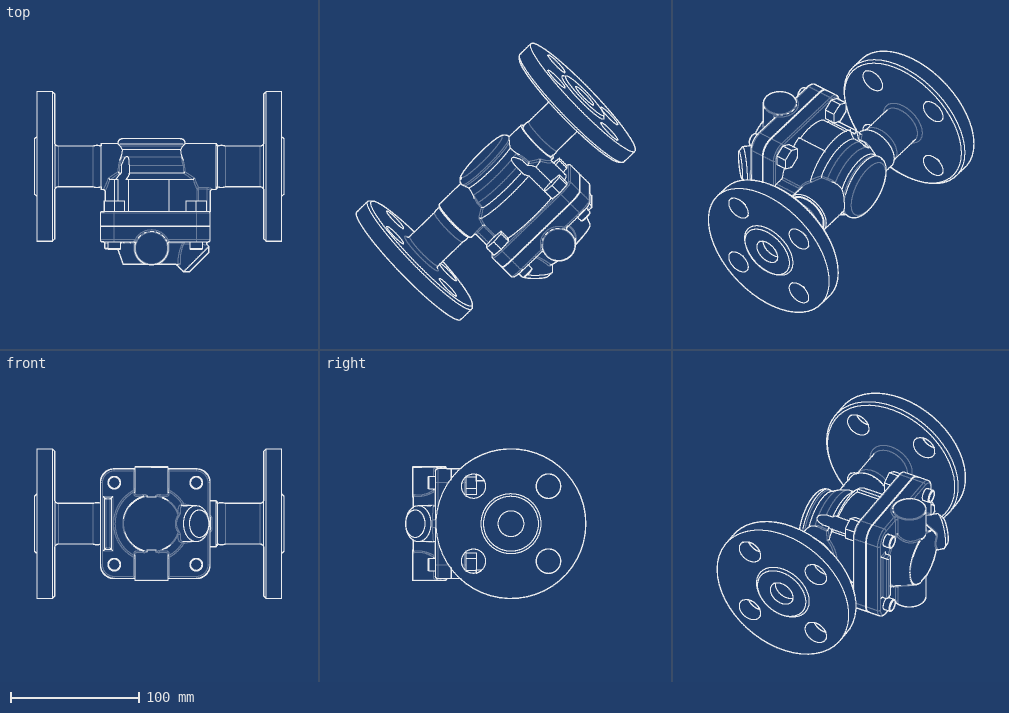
import cadquery as cq
import math


HALF_LENGTH = 97.5
FLANGE_RADIUS = 117.0 / 2
FLANGE_THICKNESS = 14.0
FLANGE_CHAMFER = 2.0
RAISED_FACE_RADIUS = 46.8 / 2
RAISED_FACE_HEIGHT = 2.0
FLANGE_HOLE_DIAMETER = 19.0
FLANGE_HOLE_SPACING = 58.5
PORT_DIAMETER = 20.0
PORT_DEPTH = 8.0
PIPE_RADIUS = 32.0 / 2
NECK_FILLET = 2.7
HUB_RADIUS = 36.0 / 2
HUB_HALF_LENGTH = 45.5
HUB_CHAMFER = 1.2
WELD_WIDTH = 6.2
WELD_RISE = 0.5

BODY_X = -6.0
BODY_RADIUS = 36.3
NECK_RADIUS = 31.0
WAIST_RADIUS = 26.0
CAP_RADIUS = 26.3
CAP_TOP_RADIUS = 22.6
CAP_TOP_Y = 21.8
CAP_RIM_Y = 17.5
WAIST_TOP_Y = 16.0
WAIST_BOTTOM_Y = 13.0
TAPER_MIDDLE_Y = 7.2
TAPER_MIDDLE_RADIUS = 29.0
NECK_TOP_Y = 0.5
NECK_BOTTOM_Y = -5.0
SHOULDER_Y = -10.3
HUB_BODY_FILLET = 1.4
LABEL_RECESS_RADIUS = 33.5
LABEL_RECESS_END_X = 7.6
RIB_END_X = 40.0
RIB_THICKNESS = 12.9
RIB_FILLET = 2.7
RIB_ROOT_FILLET = 1.4

PLATE_X = -3.1
PLATE_SIDE = 85.8
PLATE_CORNER_RADIUS = 10.7
PLATE_BACK_Y = -35.3
JOINT_Y = -46.8
PLATE_FRONT_Y = -58.9
PLATE_BACK_FILLET = 1.2
PLATE_FRONT_FILLET = 1.8
JOINT_SEAM = 0.4

BOLT_SPACING = 64.0
BOLT_DIAMETER = 10.0
BOLT_END_Y = -64.7
BOLT_CHAMFER = 0.5
NUT_FLATS = 16.0
NUT_HEIGHT = 8.4
GROOVE_DIAMETER = 11.0
GROOVE_X = -28.9
GROOVE_Z = 25.5

DOME_BASE_RADIUS = 28.7
DOME_TOP_RADIUS = 22.2
DOME_TOP_Y = -76.5
DOME_EDGE_FILLET = 0.5
BOSS_DIAMETER = 26.1
BOSS_Y = -63.8
BOSS_HALF_HEIGHT = 44.5
BOSS_EDGE_FILLET = 0.5
BOSS_ROOT_Z = 20.7
COVER_FILLET = 1.4
PLUG_X = 31.2
PLUG_Y = -74.7
PLUG_RADIUS = 14.0
PLUG_CHAMFER = 3.3
PLUG_ANGLE = 45.0

BAR_X = -40.0
BAR_WIDTH = 5.3
BAR_LENGTH = 40.2
BAR_HEIGHT = 5.5
BAR_FILLET = 1.2


def cylinder_along_y(x, z, y_start, y_end, diameter):
    """Cylinder parallel to Y between two Y levels."""
    disc = cq.Workplane("XZ", origin=(x, y_start, z)).circle(diameter / 2)
    return disc.extrude(y_start - y_end)


def joint_edges(joined, first, second):
    """Edges of the joined solid that lie on both of its parts."""
    tolerance = 0.002
    edges = []
    for edge in joined.edges().vals():
        middle = cq.Vertex.makeVertex(*edge.positionAt(0.5).toTuple())
        if max(first.val().distance(middle), second.val().distance(middle)) < tolerance:
            edges.append(edge)
    return edges


def join_with_fillet(first, second, radius, is_rounded=lambda center: True):
    """Union with the joint edges rounded where is_rounded accepts the edge center."""
    joined = first.union(second)
    edges = [e for e in joint_edges(joined, first, second) if is_rounded(e.Center())]
    return joined.newObject(edges).fillet(radius)


def bolt_positions():
    """Bolt axes as (x, z) pairs."""
    half = BOLT_SPACING / 2
    return [(PLATE_X + sx * half, sz * half) for sx in (-1, 1) for sz in (-1, 1)]


def make_pipe_end():
    """Pipe, weld bead and drilled flange on the +X side."""
    face_x = HALF_LENGTH - RAISED_FACE_HEIGHT
    back_x = face_x - FLANGE_THICKNESS
    weld_end_x = HUB_HALF_LENGTH + WELD_WIDTH
    arc_drop = NECK_FILLET * (1 - math.sqrt(0.5))
    profile = (
        cq.Workplane("XY")
        .moveTo(0, 0)
        .lineTo(0, PIPE_RADIUS)
        .lineTo(HUB_HALF_LENGTH, PIPE_RADIUS)
        .threePointArc(
            (HUB_HALF_LENGTH + WELD_WIDTH / 2, PIPE_RADIUS + WELD_RISE),
            (weld_end_x, PIPE_RADIUS),
        )
        .lineTo(back_x - NECK_FILLET, PIPE_RADIUS)
        .threePointArc(
            (back_x - arc_drop, PIPE_RADIUS + arc_drop),
            (back_x, PIPE_RADIUS + NECK_FILLET),
        )
        .lineTo(back_x, FLANGE_RADIUS - FLANGE_CHAMFER)
        .lineTo(back_x + FLANGE_CHAMFER, FLANGE_RADIUS)
        .lineTo(face_x, FLANGE_RADIUS)
        .lineTo(face_x, RAISED_FACE_RADIUS)
        .lineTo(HALF_LENGTH, RAISED_FACE_RADIUS - RAISED_FACE_HEIGHT)
        .lineTo(HALF_LENGTH, 0)
        .close()
    )
    end = profile.revolve(360, (0, 0, 0), (1, 0, 0))
    holes = (
        cq.Workplane("YZ", origin=(back_x, 0, 0))
        .rect(FLANGE_HOLE_SPACING, FLANGE_HOLE_SPACING, forConstruction=True)
        .vertices()
        .circle(FLANGE_HOLE_DIAMETER / 2)
        .extrude(FLANGE_THICKNESS)
    )
    port = (
        cq.Workplane("YZ", origin=(HALF_LENGTH, 0, 0))
        .circle(PORT_DIAMETER / 2)
        .extrude(-PORT_DEPTH)
    )
    return end.cut(holes).cut(port)


def make_hub():
    """Thicker pipe stub that crosses the body."""
    hub = (
        cq.Workplane("YZ", origin=(-HUB_HALF_LENGTH, 0, 0))
        .circle(HUB_RADIUS)
        .extrude(2 * HUB_HALF_LENGTH)
    )
    return hub.faces(">X").chamfer(HUB_CHAMFER)


def make_body_core():
    """Turned body from the rounded cap to the square flange."""
    cap_arc_middle = (
        CAP_TOP_RADIUS + (CAP_RADIUS - CAP_TOP_RADIUS) * math.sqrt(0.5),
        CAP_RIM_Y + (CAP_TOP_Y - CAP_RIM_Y) * math.sqrt(0.5),
    )
    profile = (
        cq.Workplane("XY", origin=(BODY_X, 0, 0))
        .moveTo(0, CAP_TOP_Y)
        .lineTo(CAP_TOP_RADIUS, CAP_TOP_Y)
        .threePointArc(cap_arc_middle, (CAP_RADIUS, CAP_RIM_Y))
        .lineTo(WAIST_RADIUS, WAIST_TOP_Y)
        .lineTo(WAIST_RADIUS, WAIST_BOTTOM_Y)
        .lineTo(TAPER_MIDDLE_RADIUS, TAPER_MIDDLE_Y)
        .lineTo(NECK_RADIUS, NECK_TOP_Y)
        .lineTo(NECK_RADIUS, NECK_BOTTOM_Y)
        .lineTo(BODY_RADIUS, SHOULDER_Y)
        .lineTo(BODY_RADIUS, PLATE_BACK_Y)
        .lineTo(0, PLATE_BACK_Y)
        .close()
    )
    core = profile.revolve(360, (0, 0, 0), (0, 1, 0))
    return core.cut(make_label_recess())


def make_label_recess():
    """Shallow step in the upper side of the body, left of LABEL_RECESS_END_X."""
    depth = SHOULDER_Y - PLATE_BACK_Y
    ring = (
        cq.Workplane("XZ", origin=(BODY_X, SHOULDER_Y, 0))
        .circle(BODY_RADIUS + 2)
        .circle(LABEL_RECESS_RADIUS)
        .extrude(depth)
    )
    start_x = PLATE_X - BOLT_SPACING / 2
    window = cq.Workplane("XY").box(
        LABEL_RECESS_END_X - start_x, depth, BODY_RADIUS + 2, centered=False
    )
    return ring.intersect(window.translate((start_x, PLATE_BACK_Y, 0)))


def make_rib():
    """Rib on the +X side joining the body, the hub and the square flange."""
    rib = cq.Workplane("XY").box(
        RIB_END_X - BODY_X, -PLATE_BACK_Y, RIB_THICKNESS, centered=(False, False, True)
    )
    rib = rib.edges(">X and |Y").fillet(RIB_FILLET)
    return rib.translate((BODY_X, PLATE_BACK_Y, 0))


def make_nut_grooves():
    """Round grooves in the -X side of the body, one beside each nut."""
    grooves = cq.Workplane("XY")
    for side in (-1, 1):
        groove = cylinder_along_y(GROOVE_X, side * GROOVE_Z, CAP_RIM_Y, PLATE_BACK_Y, GROOVE_DIAMETER)
        grooves = grooves.add(groove)
    return grooves.combine()


def make_square_plate(y_back, y_front):
    """Square plate with rounded corners between two Y levels."""
    plate = (
        cq.Workplane("XZ", origin=(PLATE_X, y_back, 0))
        .rect(PLATE_SIDE, PLATE_SIDE)
        .extrude(y_back - y_front)
    )
    return plate.edges("|Y").fillet(PLATE_CORNER_RADIUS)


def make_body_flange():
    flange = make_square_plate(PLATE_BACK_Y, JOINT_Y)
    return flange.faces(">Y").edges().fillet(PLATE_BACK_FILLET)


def make_joint_seam():
    """Fine groove around the joint between body and cover."""
    y_back = JOINT_Y + JOINT_SEAM / 2
    seam = make_square_plate(y_back, y_back - JOINT_SEAM)
    core = seam.faces("<Y").wires().toPending().workplane().offset2D(-JOINT_SEAM)
    return seam.cut(core.extrude(-JOINT_SEAM, combine=False))


def make_dome():
    """Conical dome on the front of the cover."""
    dome = (
        cq.Workplane("XY", origin=(BODY_X, 0, 0))
        .moveTo(0, JOINT_Y)
        .lineTo(DOME_BASE_RADIUS, JOINT_Y)
        .lineTo(DOME_BASE_RADIUS, PLATE_FRONT_Y)
        .lineTo(DOME_TOP_RADIUS, DOME_TOP_Y)
        .lineTo(0, DOME_TOP_Y)
        .close()
        .revolve(360, (0, 0, 0), (0, 1, 0))
    )
    return dome.faces("<Y").edges().fillet(DOME_EDGE_FILLET)


def make_side_boss(side):
    """Boss along Z that stands out above (side = 1) or below (side = -1) the cover."""
    boss = (
        cq.Workplane("XY", origin=(BODY_X, BOSS_Y, side * BOSS_ROOT_Z))
        .circle(BOSS_DIAMETER / 2)
        .extrude(side * (BOSS_HALF_HEIGHT - BOSS_ROOT_Z))
    )
    outer_face = boss.faces(">Z" if side > 0 else "<Z")
    return outer_face.edges().fillet(BOSS_EDGE_FILLET)


def make_plug_boss():
    """Slanted round boss between the +X and -Y directions."""
    angle = math.radians(PLUG_ANGLE)
    direction = cq.Vector(math.cos(angle), -math.sin(angle), 0)
    length = (JOINT_Y - PLUG_Y) / math.sin(angle) - PLUG_RADIUS
    end_plane = cq.Plane(origin=(PLUG_X, PLUG_Y, 0), xDir=(0, 0, 1), normal=direction.toTuple())
    boss = cq.Workplane(end_plane).circle(PLUG_RADIUS).extrude(-length)
    return boss.faces(cq.selectors.DirectionMinMaxSelector(direction)).chamfer(PLUG_CHAMFER)


def make_bar():
    """Raised bar with rounded top edges near the -X edge of the cover."""
    height = JOINT_Y - PLATE_FRONT_Y + BAR_HEIGHT
    bar = cq.Workplane("XY").box(BAR_WIDTH, height, BAR_LENGTH, centered=(True, False, True))
    bar = bar.faces("<Y").edges().fillet(BAR_FILLET)
    return bar.translate((BAR_X, PLATE_FRONT_Y - BAR_HEIGHT, 0))


def make_cover():
    plate = make_square_plate(JOINT_Y, PLATE_FRONT_Y)
    plate = plate.faces("<Y").edges().fillet(PLATE_FRONT_FILLET)
    cover = join_with_fillet(plate, make_dome(), COVER_FILLET)
    cover = join_with_fillet(cover, make_plug_boss(), COVER_FILLET)
    for side in (-1, 1):
        cover = join_with_fillet(
            cover, make_side_boss(side), COVER_FILLET, lambda center: abs(center.z) > DOME_BASE_RADIUS + 2
        )
    return join_with_fillet(cover, make_bar(), BAR_FILLET)


def make_bolt(x, z):
    """Bolt end on the cover side and hexagon nut on the body side, on one axis."""
    bolt = cylinder_along_y(x, z, JOINT_Y, BOLT_END_Y, BOLT_DIAMETER)
    bolt = bolt.faces("<Y").chamfer(BOLT_CHAMFER)
    corner_diameter = NUT_FLATS / math.cos(math.pi / 6)
    nut = (
        cq.Workplane("XZ", origin=(x, PLATE_BACK_Y + NUT_HEIGHT, z))
        .transformed(rotate=(0, 0, 90))
        .polygon(6, corner_diameter)
        .extrude(NUT_HEIGHT)
    )
    return bolt.union(nut)


pipe_end = make_pipe_end()


def make_body():
    body = join_with_fillet(
        make_body_core(), make_hub(), HUB_BODY_FILLET, lambda center: center.y < TAPER_MIDDLE_Y
    )
    body = join_with_fillet(body, make_rib(), RIB_ROOT_FILLET)
    return body.cut(make_nut_grooves())


body = make_body()
result = body.union(pipe_end).union(pipe_end.mirror("YZ"))
result = result.union(make_body_flange()).union(make_cover()).cut(make_joint_seam())
for bolt_x, bolt_z in bolt_positions():
    result = result.union(make_bolt(bolt_x, bolt_z))